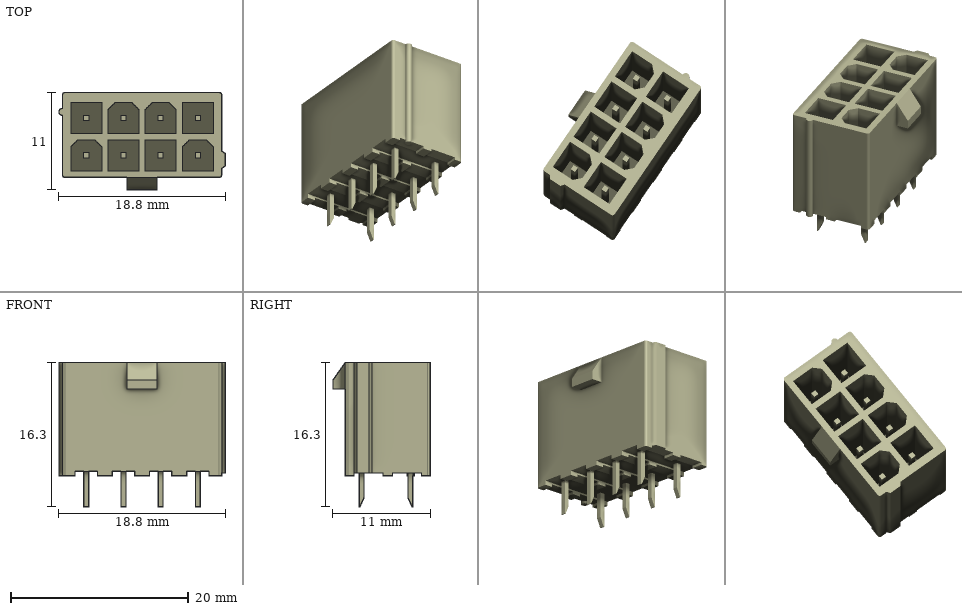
import cadquery as cq


housing_length = 18.0
housing_width = 9.6
housing_height = 12.8
corner_radius = 0.3
left_face_x = -housing_length / 2
right_face_x = housing_length / 2
front_face_y = -housing_width / 2

columns = 4
pitch = 4.2
grid_center_y = -0.2
column_x = [(column - (columns - 1) / 2) * pitch for column in range(columns)]
row_sides = (1, -1)

pocket_size = 3.5
pocket_chamfer = 0.8
pocket_depth = 10.0
pocket_floor_z = housing_height - pocket_depth

column_channel_depth = 0.5
column_channel_width = 2.5
row_channel_depth = 0.3
row_channel_width = 3.25
middle_foot_width = 1.1

pin_size = 0.58
pin_tip_below_rim = 3.0
pin_tip_z = housing_height - pin_tip_below_rim
tail_row_spacing = 5.5
tail_length = 3.5
tail_taper_length = 1.05
tail_tip_thickness = 0.1

latch_width = 3.4
latch_reach = 1.4
latch_height = 3.0
latch_ramp_height = 2.0

rib_radius = 0.4
rib_y = 2.6

key_reach = 0.4
key_base_width = 2.0
key_tip_width = 1.4
key_y = -2.8
key_bottom_z = 0.3


def make_block():
    """Plain housing block with rounded upright corners."""
    block = cq.Workplane("XY").box(
        housing_length, housing_width, housing_height, centered=(True, True, False)
    )
    return block.edges("|Z").fillet(corner_radius)


def cut_foot_channels(body):
    """Cross the underside with channels, leaving a grid of feet."""
    for x in column_x:
        channel = cq.Workplane("XY").box(
            column_channel_width, housing_width, column_channel_depth, centered=(True, True, False)
        )
        body = body.cut(channel.translate((x, 0, 0)))
    for side in row_sides:
        channel_y = side * (middle_foot_width + row_channel_width) / 2
        channel = cq.Workplane("XY").box(
            housing_length, row_channel_width, row_channel_depth, centered=(True, True, False)
        )
        body = body.cut(channel.translate((0, channel_y, 0)))
    return body


def make_rib():
    """Full-height round rib, half of it standing out of the left face."""
    return cq.Workplane("XY").center(left_face_x, rib_y).circle(rib_radius).extrude(housing_height)


def make_key():
    """Trapezoidal upright key on the right face."""
    outline = [
        (right_face_x, key_y - key_base_width / 2),
        (right_face_x + key_reach, key_y - key_tip_width / 2),
        (right_face_x + key_reach, key_y + key_tip_width / 2),
        (right_face_x, key_y + key_base_width / 2),
    ]
    key = cq.Workplane("XY").workplane(offset=key_bottom_z).polyline(outline).close()
    return key.extrude(housing_height - key_bottom_z)


def make_latch():
    """Latch ramp that starts at the rim and ends in a square catch."""
    outline = [
        (front_face_y, housing_height),
        (front_face_y - latch_reach, housing_height - latch_ramp_height),
        (front_face_y - latch_reach, housing_height - latch_height),
        (front_face_y, housing_height - latch_height),
    ]
    return cq.Workplane("YZ").polyline(outline).close().extrude(latch_width / 2, both=True)


def make_pocket(x, y, keyed):
    """Square pocket volume; a keyed pocket has its two rear corners cut off."""
    pocket = cq.Workplane("XY").box(
        pocket_size, pocket_size, pocket_depth, centered=(True, True, False)
    )
    if keyed:
        pocket = pocket.faces(">Y").edges("|Z").chamfer(pocket_chamfer)
    return pocket.translate((x, y, pocket_floor_z))


def make_pin(x, y):
    """Square contact post standing on the pocket floor."""
    post = cq.Workplane("XY").box(
        pin_size, pin_size, pin_tip_z - pocket_floor_z, centered=(True, True, False)
    )
    return post.translate((x, y, pocket_floor_z))


def make_tail(x, side):
    """Solder tail below the floor, cut to a point from its inner side."""
    tail_center_y = grid_center_y + side * tail_row_spacing / 2
    outer_y = tail_center_y + side * pin_size / 2
    inner_y = tail_center_y - side * pin_size / 2
    outline = [
        (outer_y, pocket_floor_z),
        (outer_y, -tail_length),
        (outer_y - side * tail_tip_thickness, -tail_length),
        (inner_y, -tail_length + tail_taper_length),
        (inner_y, pocket_floor_z),
    ]
    tail = cq.Workplane("YZ").polyline(outline).close().extrude(pin_size / 2, both=True)
    return tail.translate((x, 0, 0))


def add_contacts(body):
    """Cut every pocket, then stand its pin on the floor and its tail below."""
    for side in row_sides:
        y = grid_center_y + side * pitch / 2
        for column, x in enumerate(column_x):
            in_end_column = column in (0, columns - 1)
            in_front_row = side < 0
            keyed = in_end_column == in_front_row
            body = body.cut(make_pocket(x, y, keyed))
            body = body.union(make_pin(x, y))
            body = body.union(make_tail(x, side))
    return body


housing = cut_foot_channels(make_block())
housing = housing.union(make_rib()).union(make_key()).union(make_latch())
result = add_contacts(housing)